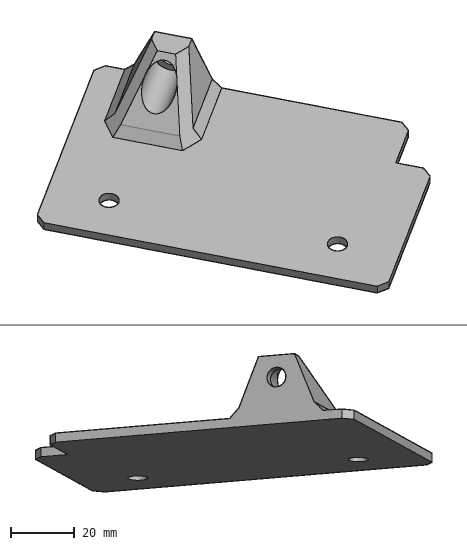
import cadquery as cq
import math

plate_length = 114.0
plate_width = 73.0
plate_thickness = 3.0
corner_chamfer = 3.0
notch_length = 12.0
notch_width = 18.0
hole_diameter = 6.3
plate_hole_inset_x = 20.0
plate_hole_y = 15.0

total_height = 22.0
lug_x = 25.0
lug_top_half_width = 6.0
lug_top_depth = 8.1
side_angle = 22.5
front_angle = 50.3
flare = 3.1
lug_edge_chamfer = 3.0

bore_z = 14.9
counterbore_diameter = 11.0
bore_wall = 3.0

overlap = plate_thickness / 2
flare_z = plate_thickness + flare
side_run = (total_height - flare_z) * math.tan(math.radians(side_angle))
front_run = (total_height - flare_z) * math.tan(math.radians(front_angle))
waist_half_width = lug_top_half_width + side_run
waist_depth = lug_top_depth + front_run
foot_half_width = waist_half_width + flare
foot_depth = waist_depth + flare
bottom_z = plate_thickness - overlap


def make_plate():
    notch_x = plate_length - notch_length
    notch_y = plate_width - notch_width
    c = corner_chamfer
    outline = [
        (c, 0), (plate_length - c, 0), (plate_length, c),
        (plate_length, notch_y - c), (plate_length - c, notch_y),
        (notch_x, notch_y), (notch_x, plate_width - c), (notch_x - c, plate_width),
        (c, plate_width), (0, plate_width - c), (0, c),
    ]
    hole_centers = [(x, plate_hole_y) for x in (plate_hole_inset_x, plate_length - plate_hole_inset_x)]
    holes = cq.Workplane("XY").pushPoints(hole_centers).circle(hole_diameter / 2).extrude(plate_thickness)
    return cq.Workplane("XY").polyline(outline).close().extrude(plate_thickness).cut(holes)


def make_corner_cutter():
    """Block beyond the flat that bevels the front right edge of the lug."""
    edge = cq.Vector(side_run, -front_run, flare_z - total_height).normalized()
    back_setback = lug_edge_chamfer / math.sqrt(1 - edge.y ** 2)
    side_setback = lug_edge_chamfer / math.sqrt(1 - edge.x ** 2)
    top_corner = cq.Vector(lug_x + lug_top_half_width, plate_width - lug_top_depth, total_height)
    start = top_corner + cq.Vector(0, back_setback, 0)
    across = cq.Vector(-side_setback, -back_setback, 0)
    outward = across.cross(edge)
    size = 4 * total_height
    return cq.Workplane(cq.Plane(start, across, outward)).rect(size, size).extrude(size)


def make_lug():
    levels = [bottom_z, plate_thickness, flare_z, total_height]
    half_widths = [foot_half_width, foot_half_width, waist_half_width, lug_top_half_width]
    depths = [foot_depth, foot_depth, waist_depth, lug_top_depth]

    right_edge = [(lug_x + w, z) for w, z in zip(half_widths, levels)]
    left_edge = [(lug_x - w, z) for w, z in zip(half_widths, levels)]
    across = (
        cq.Workplane("XZ", origin=(0, plate_width, 0))
        .polyline(right_edge + left_edge[::-1]).close().extrude(foot_depth)
    )
    front_edge = [(plate_width - d, z) for d, z in zip(depths, levels)]
    back_edge = [(plate_width, total_height), (plate_width, bottom_z)]
    along = (
        cq.Workplane("YZ", origin=(lug_x, 0, 0))
        .polyline(front_edge + back_edge).close().extrude(foot_half_width, both=True)
    )
    corner = make_corner_cutter()
    opposite_corner = corner.mirror("YZ", (lug_x, 0, 0))
    return across.intersect(along).cut(corner).cut(opposite_corner)


def make_bore():
    back = cq.Workplane("XZ", origin=(lug_x, plate_width, bore_z))
    through = back.circle(hole_diameter / 2).extrude(foot_depth)
    counterbore = back.workplane(offset=bore_wall).circle(counterbore_diameter / 2).extrude(foot_depth)
    return through.union(counterbore)


result = make_plate().union(make_lug()).cut(make_bore())